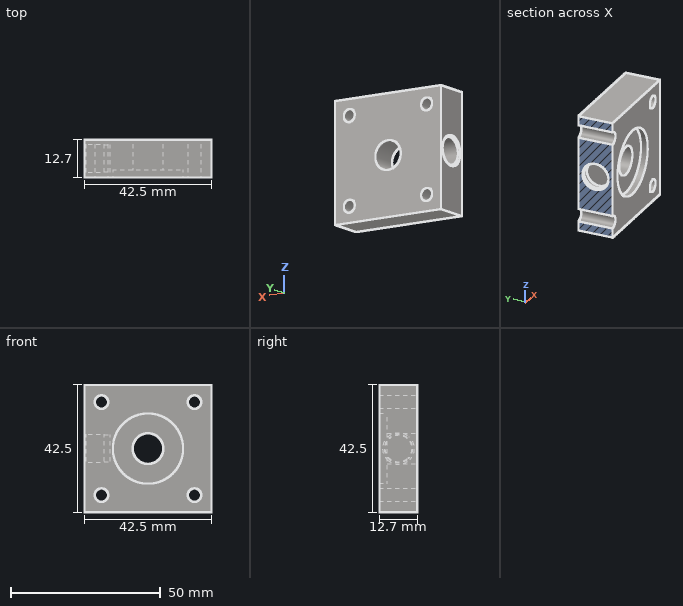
import cadquery as cq

side = 42.55
thickness = 12.7
front_y = -thickness / 2
left_x = -side / 2

bore_diameter = 10.15
recess_diameter = 23.5
recess_depth = 2.5

mount_diameter = 4.43
mount_pitch = 31.05

port_diameter = 9.4
port_depth = 6.5
port_mouth_diameter = 10.55
port_chamfer = (port_mouth_diameter - port_diameter) / 2
pilot_diameter = 8.95
pilot_depth = 8.5


def front_cylinder(diameter, depth, x=0, z=0):
    """Cylinder running from the front face into the block along +Y."""
    axis = cq.Vector(0, 1, 0)
    return cq.Workplane(cq.Solid.makeCylinder(diameter / 2, depth, cq.Vector(x, front_y, z), axis))


def side_port():
    """Stepped blind hole along +X with a conical mouth at the -X face."""
    start = cq.Vector(left_x, 0, 0)
    axis = cq.Vector(1, 0, 0)
    pilot = cq.Solid.makeCylinder(pilot_diameter / 2, pilot_depth, start, axis)
    main_bore = cq.Solid.makeCylinder(port_diameter / 2, port_depth, start, axis)
    mouth = cq.Solid.makeCone(port_mouth_diameter / 2, port_diameter / 2, port_chamfer, start, axis)
    return cq.Workplane(pilot).union(cq.Workplane(main_bore)).union(cq.Workplane(mouth))


result = cq.Workplane("XY").box(side, thickness, side)
result = result.cut(front_cylinder(bore_diameter, thickness))
result = result.cut(front_cylinder(recess_diameter, recess_depth))
for x in (-mount_pitch / 2, mount_pitch / 2):
    for z in (-mount_pitch / 2, mount_pitch / 2):
        result = result.cut(front_cylinder(mount_diameter, thickness, x, z))
result = result.cut(side_port())